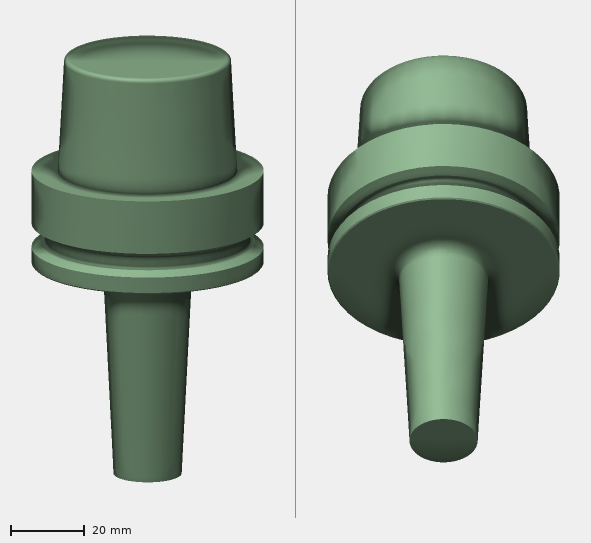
import cadquery as cq

total_height = 117.0
flange_top = 85.2
flange_bottom = 59.1
groove_upper_edge = 70.4
groove_lower_edge = 63.8
neck_fillet_end = 55.9

flange_radius = 31.5
groove_floor_radius = 27.7
taper_base_radius = 24.3
taper_top_radius = 22.6
neck_radius = 12.0
nose_radius = 9.2

taper_top_fillet = 1.2
flange_bottom_chamfer = 0.4
groove_side_height = 1.4
groove_side_depth = 2.3
groove_fillet = 0.7

neck_fillet = flange_bottom - neck_fillet_end
groove_shoulder_radius = flange_radius - groove_side_depth
upper_shoulder = groove_upper_edge - groove_side_height
lower_shoulder = groove_lower_edge + groove_side_height


def revolve_profile(profile):
    """Turn a closed XZ profile about the Z axis."""
    return profile.close().revolve(360, (0, 0, 0), (0, 1, 0))


def make_taper():
    """Conical shank with a rounded top edge."""
    profile = (
        cq.Workplane("XZ")
        .moveTo(0, flange_top)
        .lineTo(taper_base_radius, flange_top)
        .lineTo(taper_top_radius, total_height)
        .lineTo(0, total_height)
    )
    return revolve_profile(profile).faces(">Z").edges().fillet(taper_top_fillet)


def make_flange():
    """Flange with a gripper groove and a lightly broken bottom edge."""
    fillet_start_radius = groove_floor_radius + groove_fillet
    profile = (
        cq.Workplane("XZ")
        .moveTo(0, flange_bottom)
        .lineTo(flange_radius - flange_bottom_chamfer, flange_bottom)
        .lineTo(flange_radius, flange_bottom + flange_bottom_chamfer)
        .lineTo(flange_radius, groove_lower_edge)
        .lineTo(groove_shoulder_radius, lower_shoulder)
        .lineTo(fillet_start_radius, lower_shoulder)
        .radiusArc((groove_floor_radius, lower_shoulder + groove_fillet), groove_fillet)
        .lineTo(groove_floor_radius, upper_shoulder - groove_fillet)
        .radiusArc((fillet_start_radius, upper_shoulder), groove_fillet)
        .lineTo(groove_shoulder_radius, upper_shoulder)
        .lineTo(flange_radius, groove_upper_edge)
        .lineTo(flange_radius, flange_top)
        .lineTo(0, flange_top)
    )
    return revolve_profile(profile)


def make_nose():
    """Slim conical nose that flares into the flange with a concave fillet."""
    profile = (
        cq.Workplane("XZ")
        .lineTo(nose_radius, 0)
        .lineTo(neck_radius, neck_fillet_end)
        .radiusArc((neck_radius + neck_fillet, flange_bottom), neck_fillet)
        .lineTo(0, flange_bottom)
    )
    return revolve_profile(profile)


result = make_nose().union(make_flange()).union(make_taper())